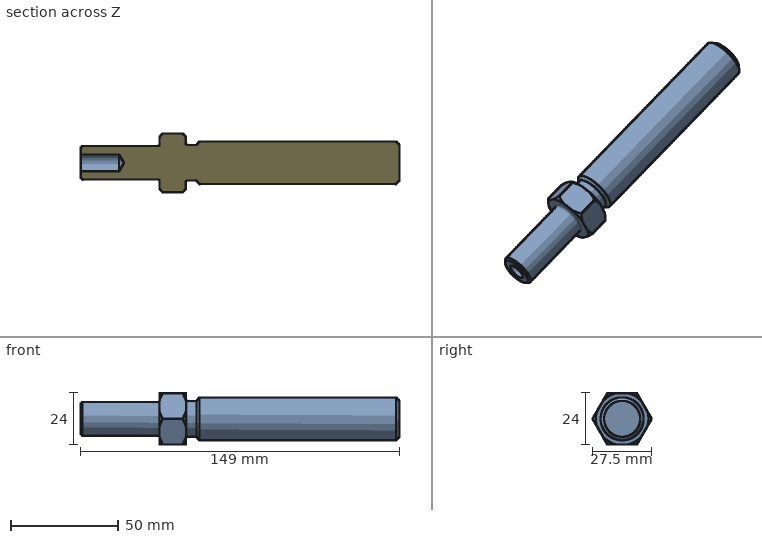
import cadquery as cq
import math

total_length = 149.0
hex_start = 36.8
hex_length = 12.4
neck_length = 4.9
shoulder_length = 1.3

shank_diameter = 16.0
hex_across_flats = 24.0
hex_turned_diameter = 27.5
neck_diameter = 16.8
body_diameter = 20.1

shank_chamfer = 0.9
body_chamfer = 1.6
hex_corner_chamfer = 1.5
shank_root_fillet = 0.5
neck_root_fillet = 0.7

hole_diameter = 7.7
hole_depth = 17.9
drill_point_angle = 118.0

hex_end = hex_start + hex_length
neck_end = hex_end + neck_length
body_start = neck_end + shoulder_length


def revolve_about_x(profile):
    """Revolve a closed XY profile about the X axis."""
    return profile.close().revolve(360, (0, 0, 0), (1, 0, 0))


def concave_fillet_midpoint(center_x, center_y, radius, x_direction):
    """Middle of a root fillet arc, facing the axis and the hexagon."""
    offset = radius * math.sqrt(0.5)
    return center_x + x_direction * offset, center_y - offset


def make_shaft():
    """Turned shank, neck and body with blended roots at the hexagon."""
    shank_radius = shank_diameter / 2
    neck_radius = neck_diameter / 2
    body_radius = body_diameter / 2
    shank_fillet_x = hex_start - shank_root_fillet
    shank_fillet_y = shank_radius + shank_root_fillet
    neck_fillet_x = hex_end + neck_root_fillet
    neck_fillet_y = neck_radius + neck_root_fillet
    return revolve_about_x(
        cq.Workplane("XY")
        .lineTo(0, shank_radius - shank_chamfer)
        .lineTo(shank_chamfer, shank_radius)
        .lineTo(shank_fillet_x, shank_radius)
        .threePointArc(
            concave_fillet_midpoint(shank_fillet_x, shank_fillet_y, shank_root_fillet, 1),
            (hex_start, shank_fillet_y),
        )
        .lineTo(hex_end, neck_fillet_y)
        .threePointArc(
            concave_fillet_midpoint(neck_fillet_x, neck_fillet_y, neck_root_fillet, -1),
            (neck_fillet_x, neck_radius),
        )
        .lineTo(neck_end, neck_radius)
        .lineTo(body_start, body_radius)
        .lineTo(total_length - body_chamfer, body_radius)
        .lineTo(total_length, body_radius - body_chamfer)
        .lineTo(total_length, 0)
    )


def make_hexagon():
    """Hexagon with flats on +Z and -Z and 45-degree turned corners."""
    across_corners = hex_across_flats / math.cos(math.radians(30))
    prism = (
        cq.Workplane("YZ", origin=(hex_start, 0, 0))
        .polygon(6, across_corners)
        .extrude(hex_length)
    )
    turned_envelope = (
        cq.Workplane("YZ", origin=(hex_start, 0, 0))
        .circle(hex_turned_diameter / 2)
        .extrude(hex_length)
        .edges()
        .chamfer(hex_corner_chamfer)
    )
    return prism.intersect(turned_envelope)


def make_hole():
    """Drilled hole with a conical bottom."""
    hole_radius = hole_diameter / 2
    point_length = hole_radius / math.tan(math.radians(drill_point_angle / 2))
    return revolve_about_x(
        cq.Workplane("XY")
        .lineTo(0, hole_radius)
        .lineTo(hole_depth, hole_radius)
        .lineTo(hole_depth + point_length, 0)
    )


result = make_shaft().union(make_hexagon()).cut(make_hole())